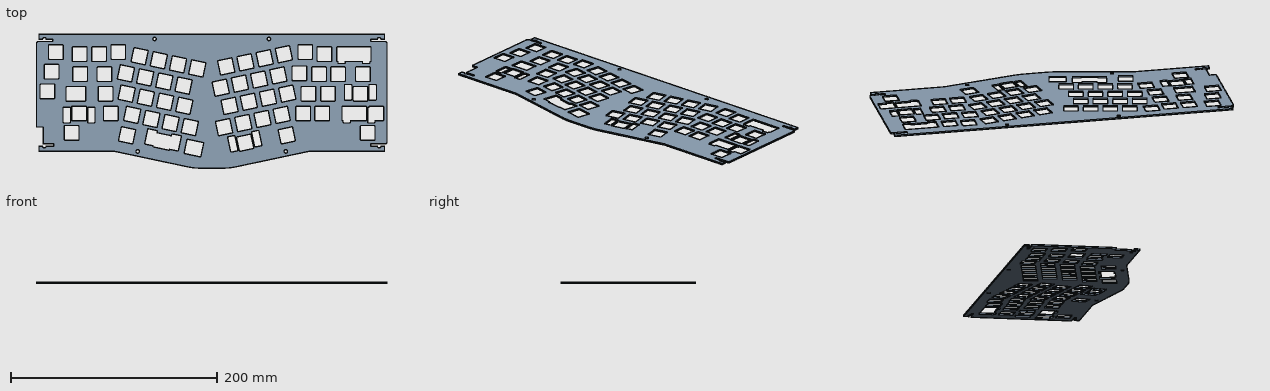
import cadquery as cq
import math

THICKNESS = 1.5
LENGTH = 340.35
DEPTH = 130.23
TOP_Y = DEPTH / 2
TIP_Y = -DEPTH / 2
WING_BOTTOM_Y = -48.7
SLOPE_ANGLE = 12.0
TIP_HALF_WIDTH = 17.1
TIP_RADIUS = 60.0
BODY_CORNER_RADIUS = 2.0

LUG_HALF_SPAN = 167.6
SLOT_WIDTH = 2.0
TOP_SLOT_Y = 58.95
BOTTOM_SLOT_Y = -42.5
SLOT_END_X = 154.3
BOTTOM_LEFT_SLOT_END_X = 153.3
LUG_NOTCH_X = 162.3
LUG_NOTCH_RADIUS = 1.75

LEFT_NOTCH_TOP_Y = -25.1
LEFT_NOTCH_X = -163.5

SCREW_DIAMETER = 3.2
TOP_SCREW = (55.4, 60.4)
BOTTOM_SCREW = (71.8, -48.7)

UNIT = 19.05
SWITCH = 14.0
OPENING_CORNER_RADIUS = 0.5
STABILIZER_WIDTH = 7.0
STABILIZER_HEIGHT = 15.0
STABILIZER_REACH = 11.9
STABILIZER_OFFSET = 1.5

NUMBER_Y = 45.6
STAGGER_Y = 47.65
UPPER_Y = 26.2
UPPER_STAGGER_Y = 27.0
HOME_Y = UPPER_Y - UNIT
LOWER_Y = HOME_Y - UNIT
BOTTOM_Y = -30.75

STRAIGHT_KEYS = [
    (NUMBER_Y, (-128.15, -109.2, 109.2)),
    (STAGGER_Y, (-90.7, 90.7)),
    (UPPER_Y, (-127.65, -104.05, 104.05, 122.5, 146.6)),
    (UPPER_STAGGER_Y, (85.05,)),
    (HOME_Y, (-103.0, 93.75, 112.75)),
    (LOWER_Y, (-97.9, 88.65, 107.1)),
    (BOTTOM_Y, (-135.85, 151.25)),
]

MACRO_KEYS = 3
MACRO_X = -151.2
MACRO_STEP_X = -4.1

CAPS_X = -131.8
CAPS_SHIFT = UNIT / 8
LEFT_SHIFT_X = -128.65
BACKSPACE_X = 137.85
ENTER_X = 144.2
RIGHT_SHIFT_X = 142.9
SPLIT_SHIFT_X = RIGHT_SHIFT_X - UNIT / 2
SPLIT_SHIFT_UNITS = 1.75
FUNCTION_X = SPLIT_SHIFT_X + (SPLIT_SHIFT_UNITS + 1) / 2 * UNIT

KEYS_PER_ANGLED_ROW = 4
LEFT_BLOCK_ALONG = 77.5
LEFT_BLOCK_ACROSS = 28.15
LEFT_STAGGER = (0.0, 0.5, 0.25, -0.25)
RIGHT_BLOCK_ALONG = 77.9
RIGHT_BLOCK_ACROSS = 30.05
RIGHT_STAGGER = (0.0, -0.5, -0.25, -0.75)
LEFT_THUMB_ACROSS = LEFT_BLOCK_ACROSS - len(LEFT_STAGGER) * UNIT
RIGHT_THUMB_ACROSS = RIGHT_BLOCK_ACROSS - len(RIGHT_STAGGER) * UNIT
ALT_DROP = 1.4
LEFT_ALT_ALONG = 73.45
RIGHT_ALT_ALONG = 64.3
LEFT_SPACE_ALONG = 38.4
LEFT_INNER_ALONG = 7.5
RIGHT_SPACE_ALONG = 23.25
THUMB_SHIFT = UNIT / 16

LEFT = -1
RIGHT = 1


def box(x_min, x_max, y_min, y_max):
    """Block through the full plate thickness."""
    return cq.Workplane("XY").box(
        x_max - x_min, y_max - y_min, THICKNESS, centered=False
    ).translate((x_min, y_min, -THICKNESS / 2))


def opening(x, y, width=SWITCH, height=SWITCH, tilt=0.0):
    """Rounded rectangular cutter centred on (x, y)."""
    block = cq.Workplane("XY").box(width, height, THICKNESS)
    block = block.edges("|Z").fillet(OPENING_CORNER_RADIUS)
    return block.rotate((0, 0, 0), (0, 0, 1), tilt).translate((x, y, 0))


def angled_opening(side, along, across, width=SWITCH, height=SWITCH):
    """Rectangular cutter placed in the tilted frame of the left or right block."""
    tilt = math.radians(SLOPE_ANGLE)
    x = along * math.cos(tilt) - across * math.sin(tilt)
    y = along * math.sin(tilt) + across * math.cos(tilt)
    return opening(side * x, y, width, height, side * SLOPE_ANGLE)


def stabilizers(x, y, offset=-STABILIZER_OFFSET):
    """Pair of stabilizer cutters of a straight key."""
    return [
        opening(x + side * STABILIZER_REACH, y + offset, STABILIZER_WIDTH, STABILIZER_HEIGHT)
        for side in (LEFT, RIGHT)
    ]


def angled_stabilizers(side, along, across):
    """Pair of stabilizer cutters of a tilted key."""
    return [
        angled_opening(
            side, along + reach, across + STABILIZER_OFFSET, STABILIZER_WIDTH, STABILIZER_HEIGHT
        )
        for reach in (-STABILIZER_REACH, STABILIZER_REACH)
    ]


def plate_outline():
    """Plate with the shallow V along the bottom, before any cuts."""
    slope_run = (WING_BOTTOM_Y - TIP_Y) / math.tan(math.radians(SLOPE_ANGLE))
    slope_end = TIP_HALF_WIDTH + slope_run
    half = LENGTH / 2
    slot_low = TOP_SLOT_Y - SLOT_WIDTH / 2
    slot_high = BOTTOM_SLOT_Y + SLOT_WIDTH / 2
    body = box(-half, half, slot_high, slot_low).edges("|Z").fillet(BODY_CORNER_RADIUS)
    wings = (
        cq.Workplane("XY", origin=(0, 0, -THICKNESS / 2))
        .moveTo(-LUG_HALF_SPAN, TOP_Y)
        .lineTo(LUG_HALF_SPAN, TOP_Y)
        .lineTo(LUG_HALF_SPAN, WING_BOTTOM_Y)
        .lineTo(slope_end, WING_BOTTOM_Y)
        .lineTo(TIP_HALF_WIDTH, TIP_Y)
        .lineTo(-TIP_HALF_WIDTH, TIP_Y)
        .lineTo(-slope_end, WING_BOTTOM_Y)
        .lineTo(-LUG_HALF_SPAN, WING_BOTTOM_Y)
        .close()
        .extrude(THICKNESS)
    )
    wings = wings.edges("|Z and <Y").fillet(TIP_RADIUS)
    return wings.union(body)


def lug_cutters():
    """Slots that free the four corner lugs, with a round notch in each lug."""
    cutters = []
    for side in (LEFT, RIGHT):
        for slot_y, outward in ((TOP_SLOT_Y, 1), (BOTTOM_SLOT_Y, -1)):
            end = SLOT_END_X
            if side == LEFT and outward < 0:
                end = BOTTOM_LEFT_SLOT_END_X
            ends = sorted((side * end, side * LENGTH / 2))
            cutters.append(box(*ends, slot_y - SLOT_WIDTH / 2, slot_y + SLOT_WIDTH / 2))
            notch_y = slot_y + outward * SLOT_WIDTH / 2
            notch = cq.Workplane("XY").circle(LUG_NOTCH_RADIUS).extrude(THICKNESS / 2, both=True)
            notch = notch.intersect(
                box(-LENGTH, LENGTH, *sorted((0, outward * LUG_NOTCH_RADIUS)))
            )
            cutters.append(notch.translate((side * LUG_NOTCH_X, notch_y, 0)))
    return cutters


def left_notch():
    """Step in the left edge, down to the bottom slot."""
    return [box(-LENGTH / 2, LEFT_NOTCH_X, BOTTOM_SLOT_Y, LEFT_NOTCH_TOP_Y)]


def screw_cutters():
    """Screw holes, mirrored left and right."""
    hole = cq.Workplane("XY").circle(SCREW_DIAMETER / 2).extrude(THICKNESS / 2, both=True)
    return [
        hole.translate((side * x, y, 0))
        for side in (LEFT, RIGHT)
        for x, y in (TOP_SCREW, BOTTOM_SCREW)
    ]


def straight_cutters():
    """Switch and stabilizer openings that are square to the plate."""
    cutters = [opening(x, y) for y, row in STRAIGHT_KEYS for x in row]
    for i in range(MACRO_KEYS):
        cutters.append(opening(MACRO_X + i * MACRO_STEP_X, STAGGER_Y - i * UNIT))
    for shift in (-CAPS_SHIFT, CAPS_SHIFT):
        cutters.append(opening(CAPS_X + shift, HOME_Y))
    for shift in (-UNIT / 2, 0, UNIT / 2):
        cutters.append(opening(BACKSPACE_X + shift, NUMBER_Y))
    for x in (LEFT_SHIFT_X, RIGHT_SHIFT_X, SPLIT_SHIFT_X, FUNCTION_X):
        cutters.append(opening(x, LOWER_Y))
    cutters.append(opening(ENTER_X, HOME_Y))
    cutters += stabilizers(BACKSPACE_X, NUMBER_Y)
    cutters += stabilizers(ENTER_X, HOME_Y, STABILIZER_OFFSET)
    cutters += stabilizers(LEFT_SHIFT_X, LOWER_Y)
    cutters += stabilizers(RIGHT_SHIFT_X, LOWER_Y)
    return cutters


def angled_block(side, along, across, stagger):
    """Staggered rows of tilted switch openings."""
    return [
        angled_opening(side, along + (shift - column) * UNIT, across - row * UNIT)
        for row, shift in enumerate(stagger)
        for column in range(KEYS_PER_ANGLED_ROW)
    ]


def thumb_cutters():
    """Tilted bottom row: alt, space and inner keys."""
    cutters = [
        angled_opening(LEFT, LEFT_ALT_ALONG, LEFT_THUMB_ACROSS - ALT_DROP),
        angled_opening(RIGHT, RIGHT_ALT_ALONG, RIGHT_THUMB_ACROSS - ALT_DROP),
        angled_opening(RIGHT, RIGHT_SPACE_ALONG, RIGHT_THUMB_ACROSS),
    ]
    cutters += angled_stabilizers(RIGHT, RIGHT_SPACE_ALONG, RIGHT_THUMB_ACROSS)
    for shift in (-THUMB_SHIFT, THUMB_SHIFT):
        cutters.append(angled_opening(LEFT, LEFT_INNER_ALONG + shift, LEFT_THUMB_ACROSS))
        cutters.append(angled_opening(LEFT, LEFT_SPACE_ALONG + shift, LEFT_THUMB_ACROSS))
        cutters += angled_stabilizers(LEFT, LEFT_SPACE_ALONG + shift, LEFT_THUMB_ACROSS)
    return cutters


cutters = lug_cutters() + left_notch() + screw_cutters()
cutters += straight_cutters()
cutters += angled_block(LEFT, LEFT_BLOCK_ALONG, LEFT_BLOCK_ACROSS, LEFT_STAGGER)
cutters += angled_block(RIGHT, RIGHT_BLOCK_ALONG, RIGHT_BLOCK_ACROSS, RIGHT_STAGGER)
cutters += thumb_cutters()

cutter_solids = [cutter.val() for cutter in cutters]
result = cq.Workplane(plate_outline().val().cut(*cutter_solids)).solids()